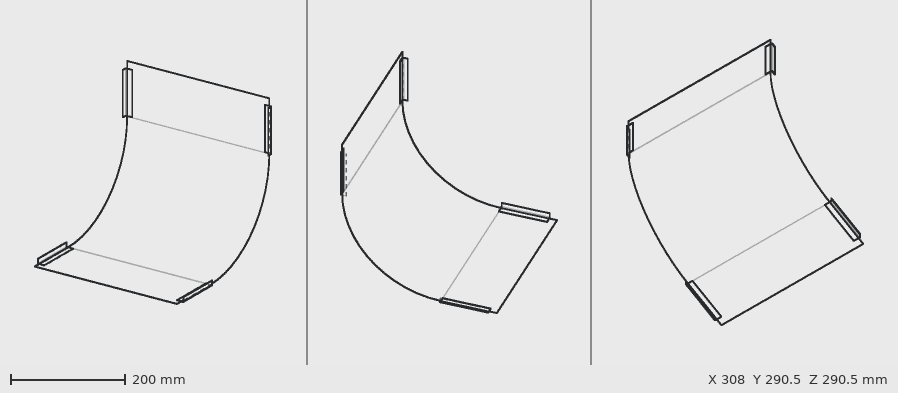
import cadquery as cq
import math

sheet_width = 300.0
sheet_thickness = 0.75
flat_length = 105.0
overall_size = 290.5

clip_thickness = 1.0
clip_base_width = 14.0
clip_height = 10.0
clip_bend_radius = 2.0
clip_length = 90.0
clip_overall_width = 308.0

sheet_bottom = clip_thickness
sheet_top = sheet_bottom + sheet_thickness
sheet_back = overall_size - sheet_bottom
sheet_front = overall_size - sheet_top

sweep_center_y = flat_length
sweep_center_z = overall_size - flat_length
outer_radius = sheet_back - sweep_center_y
inner_radius = outer_radius - sheet_thickness


def sweep_midpoint(radius):
    """Point halfway along the quarter-round sweep, as (Y, Z)."""
    offset = radius * math.sqrt(0.5)
    return (sweep_center_y + offset, sweep_center_z - offset)


def make_sheet():
    """Thin sheet with a constant section across its width."""
    section = (
        cq.Workplane("YZ")
        .moveTo(0, sheet_bottom)
        .lineTo(sweep_center_y, sheet_bottom)
        .threePointArc(sweep_midpoint(outer_radius), (sheet_back, sweep_center_z))
        .lineTo(sheet_back, overall_size)
        .lineTo(sheet_front, overall_size)
        .lineTo(sheet_front, sweep_center_z)
        .threePointArc(sweep_midpoint(inner_radius), (sweep_center_y, sheet_top))
        .lineTo(0, sheet_top)
        .close()
    )
    return section.extrude(sheet_width / 2, both=True)


def make_clip():
    """Clip under the horizontal flat at the -X edge, ending where the sweep begins."""
    outer_x = -clip_overall_width / 2
    inner_x = outer_x + clip_thickness
    bend_x = outer_x + clip_bend_radius
    base_end_x = outer_x + clip_base_width
    inner_bend_radius = clip_bend_radius - clip_thickness
    section = (
        cq.Workplane("XZ", origin=(0, flat_length, 0))
        .moveTo(base_end_x, 0)
        .lineTo(bend_x, 0)
        .radiusArc((outer_x, clip_bend_radius), clip_bend_radius)
        .lineTo(outer_x, clip_height)
        .lineTo(inner_x, clip_height)
        .lineTo(inner_x, clip_bend_radius)
        .radiusArc((bend_x, clip_thickness), -inner_bend_radius)
        .lineTo(base_end_x, clip_thickness)
        .close()
    )
    return section.extrude(clip_length)


def turn_to_upright(clip):
    """Half turn about the sheet's symmetry line, carrying a clip to the opposite edge of the upright flat."""
    return clip.rotate((0, 0, overall_size), (0, overall_size, 0), 180)


def make_clips():
    """Four clips: one at each side edge of both flats."""
    left_clip = make_clip()
    right_clip = left_clip.mirror("YZ")
    clips = []
    for clip in (left_clip, right_clip):
        clips.append(clip)
        clips.append(turn_to_upright(clip))
    return clips


sheet = make_sheet()
clips = make_clips()

result = cq.Compound.makeCompound([sheet.val(), *[clip.val() for clip in clips]])